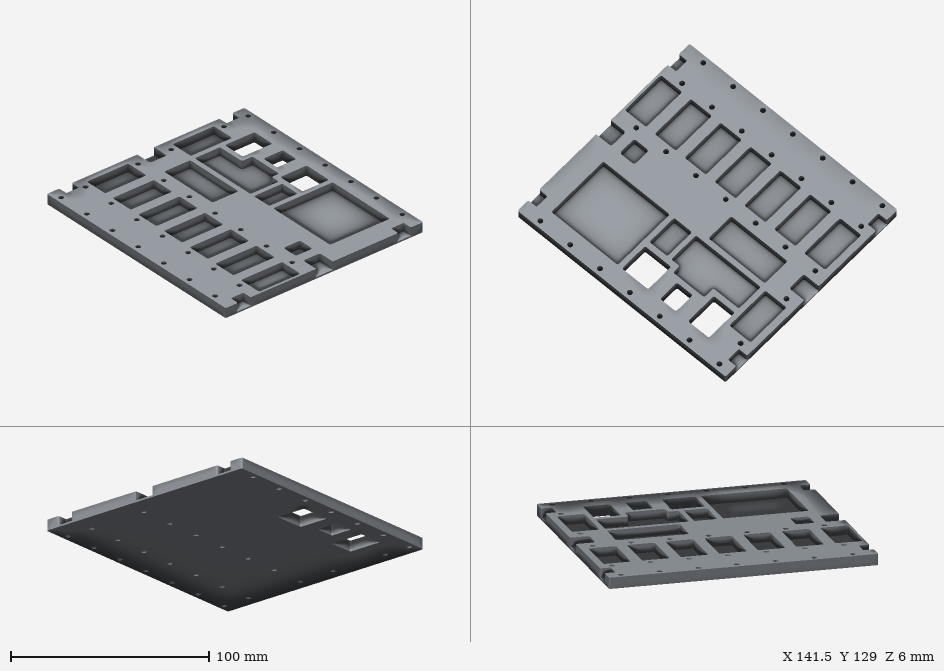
import cadquery as cq
import math

LENGTH = 141.5
WIDTH = 129.0
TOTAL_HEIGHT = 6.0
SHEET_THICKNESS = 1.0
FRAME_THICKNESS = TOTAL_HEIGHT - SHEET_THICKNESS
OUTER_CORNER_RADIUS = 1.0

OPENING_RADIUS = 1.0
MIDDLE_RADIUS = 1.3
NOTCH_MOUTH_RADIUS = 1.0
NOTCH_INNER_RADIUS = 0.7

CHANNEL_COUNT = 7
CHANNEL_SPAN = 121.8
CHANNEL_PITCH = CHANNEL_SPAN / (CHANNEL_COUNT - 1)
FIRST_HOLE_X = -63.5
HOLE_DIAMETER = 3.0
EDGE_HOLE_Y = 61.1
SLOT_LENGTH = 14.5
SLOT_WIDTH = 27.0
SLOT_OFFSET_X = 3.8
SLOT_CENTRE_Y = 28.0
SLOT_HOLE_SPACING = 34.4

LEFT_LINE = -49.5
BACK_LINE = 53.6
FRONT_LINE = 14.6
STEP_LINE = 33.1
DISPLAY_LEFT = 12.5
DISPLAY_RIGHT = 57.6
SMALL_POCKET_LEFT = -2.7
INNER_RIGHT = 9.5
LONG_POCKET_RIGHT = -11.2
LONG_POCKET_BACK = 11.6

WINDOW_A = (LEFT_LINE, -35.4, 34.2)
WINDOW_B = (-27.2, -16.4, 41.0)
WINDOW_C = (-8.2, INNER_RIGHT, 36.4)

STEPPED_RIGHT = -5.4
STEPPED_TOWER_LEFT = -32.3
STEPPED_TOWER_BACK = 38.0
STEPPED_SHOULDER_Y = 31.1

MIDDLE_WIDTH = 10.9
CUTOUT_DEPTH = 10.2
BUTTON_LEFT = 44.9
BUTTON_RIGHT = 54.8

NOTCH_DEPTH = 5.7
NOTCH_WIDTH = 8.2
NOTCH_CENTRE_Y = 52.4


def plate(thickness, base_z):
    return (
        cq.Workplane("XY", origin=(0, 0, base_z))
        .rect(LENGTH, WIDTH)
        .extrude(thickness)
        .edges("|Z")
        .fillet(OUTER_CORNER_RADIUS)
    )


def block(left, right, front, back):
    """Rectangular cutter through the full height."""
    size_x = right - left
    size_y = back - front
    return cq.Workplane("XY", origin=(left, front, 0)).box(size_x, size_y, TOTAL_HEIGHT, centered=False)


def opening(left, right, front, back, radius=OPENING_RADIUS):
    """Rectangular cutter with rounded corners."""
    return block(left, right, front, back).edges("|Z").fillet(radius)


def channel_xs():
    return [FIRST_HOLE_X + i * CHANNEL_PITCH for i in range(CHANNEL_COUNT)]


def slot(hole_x, centre_y):
    left = hole_x + SLOT_OFFSET_X - SLOT_LENGTH / 2
    front = centre_y - SLOT_WIDTH / 2
    return opening(left, left + SLOT_LENGTH, front, front + SLOT_WIDTH)


def stepped_pocket():
    return (
        cq.Workplane("XY")
        .polyline([
            (LEFT_LINE, FRONT_LINE),
            (STEPPED_RIGHT, FRONT_LINE),
            (STEPPED_RIGHT, STEP_LINE),
            (LONG_POCKET_RIGHT, STEP_LINE),
            (LONG_POCKET_RIGHT, STEPPED_TOWER_BACK),
            (STEPPED_TOWER_LEFT, STEPPED_TOWER_BACK),
            (STEPPED_TOWER_LEFT, STEPPED_SHOULDER_Y),
            (LEFT_LINE, STEPPED_SHOULDER_Y),
        ])
        .close()
        .extrude(TOTAL_HEIGHT)
        .edges("|Z")
        .fillet(OPENING_RADIUS)
    )


def inner_edges(side):
    """Selector for the vertical edges of an end opening that lie deepest in the plate."""
    return "|Z and <X" if side > 0 else "|Z and >X"


def corner_notch(side, centre_y):
    """Notch open at the left (side -1) or right (side 1) end, with a rounded mouth."""
    end_x = side * LENGTH / 2
    inner_x = end_x - side * NOTCH_DEPTH
    mouth_x = end_x - side * NOTCH_MOUTH_RADIUS
    front = centre_y - NOTCH_WIDTH / 2
    back = centre_y + NOTCH_WIDTH / 2
    bend = NOTCH_MOUTH_RADIUS * (1 - math.cos(math.radians(45)))
    return (
        cq.Workplane("XY")
        .moveTo(inner_x, front)
        .lineTo(mouth_x, front)
        .threePointArc((end_x - side * bend, front - bend), (end_x, front - NOTCH_MOUTH_RADIUS))
        .lineTo(end_x, back + NOTCH_MOUTH_RADIUS)
        .threePointArc((end_x - side * bend, back + bend), (mouth_x, back))
        .lineTo(inner_x, back)
        .close()
        .extrude(TOTAL_HEIGHT)
        .edges(inner_edges(side))
        .fillet(NOTCH_INNER_RADIUS)
    )


def end_cutout(side):
    """Cutout open at the left (side -1) or right (side 1) end."""
    inner_x = side * (LENGTH / 2 - CUTOUT_DEPTH)
    outer_x = side * LENGTH / 2
    return (
        block(min(inner_x, outer_x), max(inner_x, outer_x), -MIDDLE_WIDTH / 2, MIDDLE_WIDTH / 2)
        .edges(inner_edges(side))
        .fillet(MIDDLE_RADIUS)
    )


def screw_holes():
    """Cutters for the screw holes: two edge rows, one pair per slot."""
    half = SLOT_HOLE_SPACING / 2
    rows = [EDGE_HOLE_Y, -EDGE_HOLE_Y, -SLOT_CENTRE_Y + half, -SLOT_CENTRE_Y - half]
    points = [(x, y) for x in channel_xs() for y in rows]
    points += [(FIRST_HOLE_X, SLOT_CENTRE_Y + half), (FIRST_HOLE_X, SLOT_CENTRE_Y - half)]
    return cq.Workplane("XY").pushPoints(points).circle(HOLE_DIAMETER / 2).extrude(TOTAL_HEIGHT)


def windows():
    return [opening(left, right, front, BACK_LINE) for left, right, front in (WINDOW_A, WINDOW_B, WINDOW_C)]


def pockets():
    """Openings of the frame that the sheet closes from below."""
    slots = [slot(x, -SLOT_CENTRE_Y) for x in channel_xs()]
    slots.append(slot(FIRST_HOLE_X, SLOT_CENTRE_Y))
    return slots + [
        opening(DISPLAY_LEFT, DISPLAY_RIGHT, FRONT_LINE, BACK_LINE),
        opening(SMALL_POCKET_LEFT, INNER_RIGHT, FRONT_LINE, STEP_LINE),
        opening(LEFT_LINE, LONG_POCKET_RIGHT, -MIDDLE_WIDTH / 2, LONG_POCKET_BACK),
        opening(BUTTON_LEFT, BUTTON_RIGHT, -MIDDLE_WIDTH / 2, MIDDLE_WIDTH / 2, MIDDLE_RADIUS),
        stepped_pocket(),
    ]


def end_openings():
    cutters = []
    for side in (-1, 1):
        cutters.append(end_cutout(side))
        for centre_y in (-NOTCH_CENTRE_Y, NOTCH_CENTRE_Y):
            cutters.append(corner_notch(side, centre_y))
    return cutters


def cut_all(body, cutters):
    for cutter in cutters:
        body = body.cut(cutter)
    return body


def bottom_sheet():
    return cut_all(plate(SHEET_THICKNESS, 0), [screw_holes()] + windows())


def frame_plate():
    cutters = [screw_holes()] + windows() + pockets() + end_openings()
    return cut_all(plate(FRAME_THICKNESS, SHEET_THICKNESS), cutters)


sheet = bottom_sheet()
frame = frame_plate()
result = cq.Compound.makeCompound([sheet.val(), frame.val()])